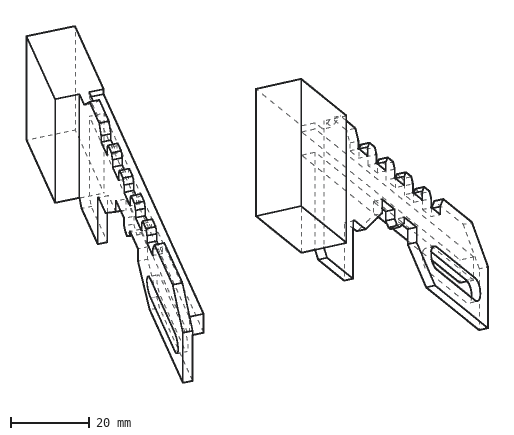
import cadquery as cq

length = 115.0
depth = 13.0
height = 43.0

block_length = 25.0
block_bottom = 2.1
block_top = 38.0

blade_front = depth / 2
rib_front = 9.1
floor_z = block_top

rib_end = 111.9
rib_top = 36.2
rib_bottom = 29.7

foot_chamfer_x = 26.7
foot_end = 40.9
corner_radius = 1.0
lower_edge = 16.8
recess_top = 29.0
recess_start = 56.8
recess_end = 75.8
left_slope_start = 47.8
left_slope_top = 25.1
right_slope_top = 24.7
right_slope_end = 85.9

front_hump_foot = 29.2
front_hump_start = 33.8
front_hump_end = 42.2
rear_hump_start = 90.4
rear_hump_end = 106.1
end_slope_bottom = 34.2
hump_shoulder = 40.1
notch_start = 43.9
notch_end = 88.7

tooth_count = 4
tooth_pitch = 10.0
first_tooth_x = 51.4
tooth_width = 4.8
tooth_tip_width = 3.0
tooth_shoulder = 40.5
tooth_top = 42.1

nub_start = 63.7
nub_end = 68.9
nub_tip_start = 65.2
nub_tip_end = 66.4
nub_bottom = 25.1
nub_left_shoulder = 26.3
nub_right_shoulder = 27.3

slot_start = 83.7
slot_end = 110.9
slot_width = 6.3
slot_z = 24.8


def plate(sketch, front, back):
    """Extrude an XZ outline between two Y positions."""
    return sketch.extrude(-(back - front)).translate((0, front, 0))


def bar(x_range, y_range, z_range):
    """Make a rectangular block from its limits along each axis."""
    lows, highs = zip(x_range, y_range, z_range)
    sizes = [high - low for low, high in zip(lows, highs)]
    return cq.Workplane("XY").box(*sizes, centered=False).translate(lows)


def tooth_points(center):
    """Corners of one tooth, from left to right along the upper edge."""
    half_base = tooth_width / 2
    half_tip = tooth_tip_width / 2
    return [
        (center - half_base, floor_z),
        (center - half_base, tooth_shoulder),
        (center - half_tip, tooth_top),
        (center + half_tip, tooth_top),
        (center + half_base, tooth_shoulder),
        (center + half_base, floor_z),
    ]


def upper_edge_points():
    """Corners of the upper edge, from the block to the blade end."""
    points = [
        (block_length, floor_z),
        (front_hump_foot, floor_z),
        (front_hump_start, height),
        (front_hump_end, height),
        (notch_start, hump_shoulder),
        (notch_start, floor_z),
    ]
    for index in range(tooth_count):
        points += tooth_points(first_tooth_x + index * tooth_pitch)
    points += [
        (notch_end, floor_z),
        (notch_end, hump_shoulder),
        (rear_hump_start, height),
        (rear_hump_end, height),
        (length, end_slope_bottom),
    ]
    return points


def lower_edge_points():
    """Corners of the lower edge, from the blade end back to the foot."""
    return [
        (length, lower_edge),
        (right_slope_end, lower_edge),
        (recess_end, right_slope_top),
        (recess_end, recess_top),
        (nub_end, recess_top),
        (nub_end, nub_right_shoulder),
        (nub_tip_end, nub_bottom),
        (nub_tip_start, nub_bottom),
        (nub_start, nub_left_shoulder),
        (nub_start, recess_top),
        (recess_start, recess_top),
        (recess_start, left_slope_top),
        (left_slope_start, lower_edge),
        (foot_end, lower_edge),
        (foot_end, 0),
        (foot_chamfer_x, 0),
        (block_length, block_bottom),
    ]


def make_blade():
    outline = cq.Workplane("XZ").polyline(upper_edge_points() + lower_edge_points()).close()
    blade = plate(outline, blade_front, rib_front)
    corner_point = (foot_end, (blade_front + rib_front) / 2, lower_edge)
    inner_corner = cq.selectors.NearestToPointSelector(corner_point)
    blade = blade.edges("|Y").edges(inner_corner).fillet(corner_radius)
    slot = (
        cq.Workplane("XZ")
        .center((slot_start + slot_end) / 2, slot_z)
        .slot2D(slot_end - slot_start, slot_width)
    )
    return blade.cut(plate(slot, blade_front, rib_front))


block = bar((0, block_length), (0, depth), (block_bottom, block_top))
rib = bar((block_length, rib_end), (rib_front, depth), (rib_bottom, rib_top))
result = block.union(make_blade()).union(rib)